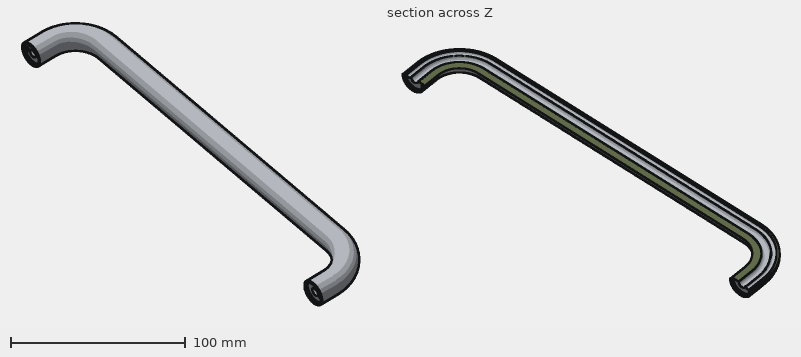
import cadquery as cq

length = 266.0
depth = 45.0
bar_diameter = 16.0

bend_radius = 24.0

main_bore_diameter = 5.0
side_bore_diameter = 3.0
side_bore_offset = 4.5

rim_width = 1.3
recess_depth = 1.3

bar_radius = bar_diameter / 2
leg_x = length / 2 - bar_radius
grip_y = depth - bar_radius
bend_start_y = grip_y - bend_radius
bend_end_x = leg_x - bend_radius


def sweep_round(diameter, offset=0):
    """Sweep a circle along the handle, offset outwards from its centreline."""
    start_x = leg_x + offset
    far_y = grip_y + offset
    path = (
        cq.Workplane("XY")
        .moveTo(-start_x, 0)
        .lineTo(-start_x, bend_start_y)
        .tangentArcPoint((-bend_end_x, far_y), relative=False)
        .lineTo(bend_end_x, far_y)
        .tangentArcPoint((start_x, bend_start_y), relative=False)
        .lineTo(start_x, 0)
    )
    section = cq.Workplane("XZ", origin=(-start_x, 0, 0)).circle(diameter / 2)
    return section.sweep(path)


def make_end_recess(x):
    """Shallow round pocket in the end face of a leg."""
    end_face = cq.Workplane("XZ", origin=(x, 0, 0))
    return end_face.circle(bar_radius - rim_width).extrude(-recess_depth)


result = sweep_round(bar_diameter)
result = result.cut(sweep_round(main_bore_diameter))
result = result.cut(sweep_round(side_bore_diameter, side_bore_offset))
for end_x in (-leg_x, leg_x):
    result = result.cut(make_end_recess(end_x))